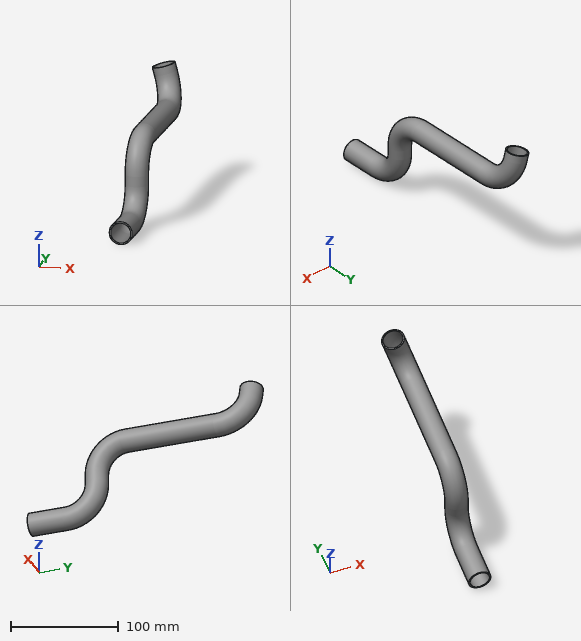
import cadquery as cq
import math

overall_length = 226.0
outer_diameter = 22.0
inner_diameter = 19.0
bend_radius = 30.0
inlet_length = 35.0
riser_length = 10.0
outlet_length = 8.0
outlet_tilt = 15.0

run_length = overall_length - inlet_length - 3 * bend_radius - outer_diameter / 2

along = cq.Vector(0, 1, 0)
up = cq.Vector(0, 0, 1)
tilt = math.radians(outlet_tilt)
outlet = cq.Vector(-math.sin(tilt), 0, math.cos(tilt))


def straight(start, direction, length):
    """Centreline edge of a straight stretch."""
    return cq.Edge.makeLine(start, start + direction * length)


def bend(start, incoming, outgoing):
    """Centreline edge of a quarter bend between two perpendicular directions."""
    center = start + outgoing * bend_radius
    middle = center + (incoming - outgoing).normalized() * bend_radius
    end = center + incoming * bend_radius
    return cq.Edge.makeThreePointArc(start, middle, end)


inlet_line = straight(cq.Vector(0, 0, 0), along, inlet_length)
lower_bend = bend(inlet_line.endPoint(), along, up)
riser_line = straight(lower_bend.endPoint(), up, riser_length)
middle_bend = bend(riser_line.endPoint(), up, along)
run_line = straight(middle_bend.endPoint(), along, run_length)
outlet_bend = bend(run_line.endPoint(), along, outlet)
outlet_line = straight(outlet_bend.endPoint(), outlet, outlet_length)
centerline = cq.Wire.assembleEdges(
    [inlet_line, lower_bend, riser_line, middle_bend, run_line, outlet_bend, outlet_line]
)

inlet_plane = cq.Plane(origin=(0, 0, 0), xDir=(1, 0, 0), normal=along.toTuple())
result = (
    cq.Workplane(inlet_plane)
    .circle(outer_diameter / 2)
    .circle(inner_diameter / 2)
    .sweep(cq.Workplane(centerline))
)